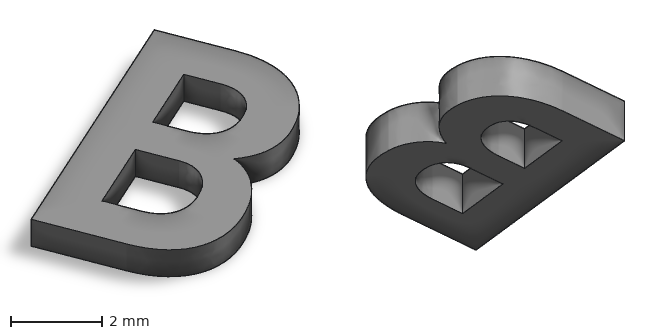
import cadquery as cq

height = 5.72
width = 4.72
thickness = 1.0
slant = 1.0 / height

roundness = 0.61

top_bowl_start = 2.885
top_bowl_side_y = 4.31
waist = (3.73, 2.92)
waist_upper_handle = (4.29, 3.175)
waist_lower_handle = (4.09, 2.78)
waist_roundness = 0.53
low_bowl_side = (4.42, 1.825)
low_bowl_end = 2.2

upper_top, upper_bottom = 4.765, 3.325
upper_stem_x = 1.735
upper_side = (3.575, 4.22)
upper_curve_start, upper_curve_end = 2.83, 2.52
lower_top, lower_bottom = 2.5, 0.95
lower_stem_x = 1.325
lower_side = (3.3, 1.895)
lower_curve_start, lower_curve_end = 2.61, 2.23


def between(start, end, fraction=roundness):
    """Value at the given fraction of the way from start to end."""
    return start + fraction * (end - start)


def bowl_quarter(profile, start, end, flat_first):
    """Add a quarter bowl joining a horizontal tangent to a vertical one."""
    if flat_first:
        handles = [(between(start[0], end[0]), start[1]), (end[0], between(end[1], start[1]))]
    else:
        handles = [(start[0], between(start[1], end[1])), (between(end[0], start[0]), end[1])]
    return profile.bezier([start, *handles, end])


def letter_body():
    top_side = (width, top_bowl_side_y)
    profile = cq.Workplane("XY").lineTo(slant * height, height).lineTo(top_bowl_start, height)
    profile = bowl_quarter(profile, (top_bowl_start, height), top_side, True)
    upper_handle = (width, between(top_bowl_side_y, waist[1], waist_roundness))
    lower_handle = (low_bowl_side[0], between(low_bowl_side[1], waist[1], waist_roundness))
    profile = profile.bezier([top_side, upper_handle, waist_upper_handle, waist])
    profile = profile.bezier(
        [waist, waist_lower_handle, lower_handle, low_bowl_side]
    )
    profile = bowl_quarter(profile, low_bowl_side, (low_bowl_end, 0), False)
    return profile.close().extrude(thickness)


def counter(stem_x, bottom, top, curve_start, side, curve_end):
    """Solid filling one opening, its straight side parallel to the stem."""
    top_x = stem_x + slant * (top - bottom)
    profile = cq.Workplane("XY").moveTo(stem_x, bottom).lineTo(top_x, top).lineTo(curve_start, top)
    profile = bowl_quarter(profile, (curve_start, top), side, True)
    profile = bowl_quarter(profile, side, (curve_end, bottom), False)
    return profile.close().extrude(thickness)


upper_counter = counter(
    upper_stem_x, upper_bottom, upper_top, upper_curve_start, upper_side, upper_curve_end
)
lower_counter = counter(
    lower_stem_x, lower_bottom, lower_top, lower_curve_start, lower_side, lower_curve_end
)
result = letter_body().cut(upper_counter).cut(lower_counter)